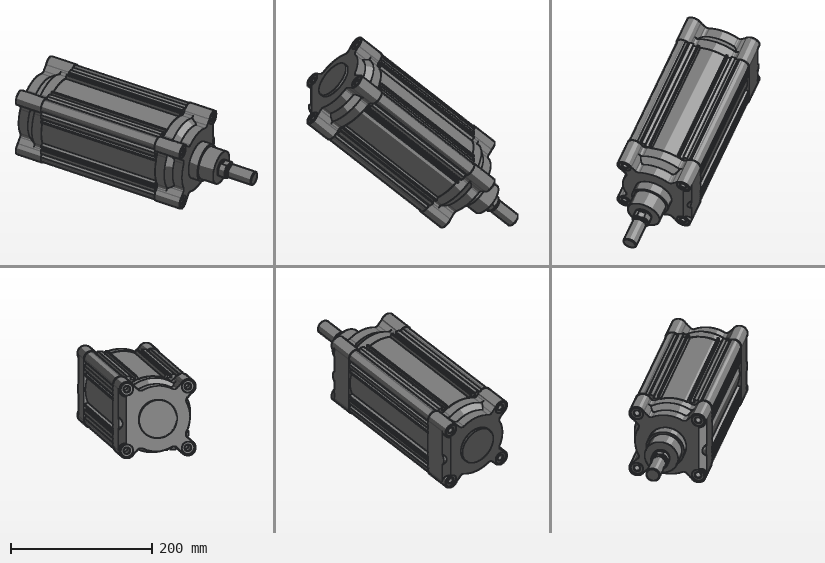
import cadquery as cq
import math


total_length = 358.0
pilot_length = 4.0
cap_length = 40.0
barrel_length = 183.0
front_pilot_length = 14.0
nose_length = 23.5
barrel_start = pilot_length + cap_length
front_cap_end = barrel_start + barrel_length + cap_length
nose_end = front_cap_end + front_pilot_length + nose_length

outer_half = 55.5
corner_radius = 11.0
bolt_offset = outer_half - corner_radius
arm_half_width = 10.55
cap_small_radius = 47.3
cap_large_radius = 53.7
cap_end_length = 15.0
web_fillet = 5.0
radius_tolerance = 0.05
pilot_radius = 27.5
nose_radius = 24.5

recess_radius = 9.0
recess_depth = 1.0
bolt_hole_radius = 4.3
bolt_hole_depth = 16.0
bolt_hole_chamfer = 0.7
drill_half_angle = 59

bevel_height = 10.0
bevel_length = 7.0
port_radius = 13.0
port_from_face = 16.0
port_z = -5.7

barrel_half = 54.5
barrel_radius = 53.0
notch_center = 38.0
notch_depth = 3.2
slot_inner_wall = 23.3
slot_lip = 28.5
slot_outer_wall = 29.7
slot_floor = 49.8
lip_bottom = 52.3
relief_top_half = 20.8
relief_bottom_half = 18.5
relief_bottom = 48.7

rod_radius = 12.5
rod_gap_radius = 12.0
rod_gap_length = 1.8
rod_end = 317.5
rod_chamfer = 1.0
flat_half = 11.5
flat_length = 9.0
neck_radius = 8.2
neck_length = 3.0
thread_radius = 10.0
thread_chamfer = 1.0

bolt_positions = [(y, z) for y in (-bolt_offset, bolt_offset) for z in (-bolt_offset, bolt_offset)]


def rod_along_x(radius, start, length):
    """Round bar on the X axis."""
    return cq.Workplane("YZ", origin=(start, 0, 0)).circle(radius).extrude(length)


def cap_webs(start, length):
    """Diagonal webs and corner bosses over part of a cap."""
    plane = cq.Workplane("YZ", origin=(start, 0, 0))
    span = 2 * math.sqrt(2) * bolt_offset
    webs = plane.pushPoints(bolt_positions).circle(corner_radius).extrude(length)
    for angle in (45, -45):
        web = plane.rect(span, 2 * arm_half_width).extrude(length)
        webs = webs.union(web.rotate((0, 0, 0), (1, 0, 0), angle))
    return webs


def round_section(radius, start, length):
    """Straight round length of a cap, filleted into its webs."""
    section = rod_along_x(radius, start, length).union(cap_webs(start, length))
    corners = [
        edge for edge in section.edges("|X").vals()
        if abs(math.hypot(edge.Center().y, edge.Center().z) - radius) < radius_tolerance
        and min(abs(edge.Center().y), abs(edge.Center().z)) > arm_half_width
    ]
    return section.newObject(corners).fillet(web_fillet)


def connection_side():
    """Flat block that closes the +Y side of a cap between its corner bosses."""
    inner_y = bolt_offset - corner_radius
    return cq.Workplane("XY").box(
        cap_length, outer_half - inner_y, 2 * bolt_offset, centered=(False, False, True)
    ).translate((0, inner_y, 0))


def connection_bevel():
    """Wedge cut from the connection side at the end face, sparing the bosses and the round port pad."""
    wedge = (
        cq.Workplane("XY", origin=(0, 0, -bolt_offset))
        .moveTo(0, outer_half - bevel_height)
        .lineTo(bevel_length, outer_half)
        .lineTo(0, outer_half)
        .close()
        .extrude(2 * bolt_offset)
    )
    bosses = cq.Workplane("YZ").pushPoints(bolt_positions).circle(corner_radius).extrude(cap_length)
    pad = (
        cq.Workplane("XZ", origin=(port_from_face, 0, port_z))
        .circle(port_radius)
        .extrude(-outer_half)
    )
    return wedge.cut(bosses).cut(pad)


def bolt_hole(y, z):
    """Recess, chamfered hole and drill tip, revolved about the bolt axis."""
    mouth = recess_depth + bolt_hole_chamfer
    drill_tip = bolt_hole_radius / math.tan(math.radians(drill_half_angle))
    return (
        cq.Workplane("XY")
        .moveTo(0, 0)
        .lineTo(0, recess_radius)
        .lineTo(recess_depth, recess_radius)
        .lineTo(recess_depth, bolt_hole_radius + bolt_hole_chamfer)
        .lineTo(mouth, bolt_hole_radius)
        .lineTo(bolt_hole_depth, bolt_hole_radius)
        .lineTo(bolt_hole_depth + drill_tip, 0)
        .close()
        .revolve(360, (0, 0, 0), (1, 0, 0))
        .translate((0, y, z))
    )


def make_cap():
    """End cap with its outer end face at X = 0 and its barrel side toward +X."""
    cone_length = cap_length - 2 * cap_end_length
    large_start = cap_end_length + cone_length
    cone = (
        cq.Workplane("YZ", origin=(cap_end_length, 0, 0))
        .circle(cap_small_radius)
        .workplane(offset=cone_length)
        .circle(cap_large_radius)
        .loft()
    )
    cap = (
        round_section(cap_small_radius, 0, large_start)
        .union(cone)
        .union(round_section(cap_large_radius, large_start, cap_end_length))
        .union(connection_side())
        .cut(connection_bevel())
    )
    for y, z in bolt_positions:
        cap = cap.cut(bolt_hole(y, z))
    return cap


def make_rear_cap():
    pilot = rod_along_x(pilot_radius, 0, pilot_length)
    return make_cap().translate((pilot_length, 0, 0)).union(pilot)


def make_front_cap():
    pilot = rod_along_x(pilot_radius, front_cap_end, front_pilot_length)
    nose = rod_along_x(nose_radius, front_cap_end + front_pilot_length, nose_length)
    cap = make_cap().mirror("YZ").translate((front_cap_end, 0, 0))
    return cap.union(pilot).union(nose)


def barrel_half_side_cut():
    """V-notch and sensor slot on the +Y half of the top side of the barrel."""
    plane = cq.Workplane("YZ", origin=(barrel_start, 0, 0))
    notch = plane.polyline([
        (notch_center - notch_depth, barrel_half),
        (notch_center, barrel_half - notch_depth),
        (notch_center + notch_depth, barrel_half),
    ]).close().extrude(barrel_length)
    slot = plane.polyline([
        (slot_inner_wall, barrel_half),
        (slot_inner_wall, slot_floor),
        (slot_outer_wall, slot_floor),
        (slot_outer_wall, lip_bottom),
        (slot_lip, lip_bottom),
        (slot_lip, barrel_half),
    ]).close().extrude(barrel_length)
    return notch.union(slot)


def barrel_relief_cut():
    """Sloped-wall relief over the middle of the top side, leaving the round tube exposed."""
    relief = cq.Workplane("YZ", origin=(barrel_start, 0, 0)).polyline([
        (-relief_top_half, barrel_half),
        (relief_top_half, barrel_half),
        (relief_bottom_half, relief_bottom),
        (-relief_bottom_half, relief_bottom),
    ]).close().extrude(barrel_length)
    return relief.cut(rod_along_x(barrel_radius, barrel_start, barrel_length))


def make_barrel():
    barrel = (
        cq.Workplane("YZ", origin=(barrel_start, 0, 0))
        .rect(2 * barrel_half, 2 * barrel_half)
        .extrude(barrel_length)
        .edges("|X")
        .fillet(barrel_half - bolt_offset)
    )
    half_cut = barrel_half_side_cut()
    side_cuts = [half_cut, half_cut.mirror("XZ"), barrel_relief_cut()]
    for angle in (0, 90, 180, 270):
        for side_cut in side_cuts:
            barrel = barrel.cut(side_cut.rotate((0, 0, 0), (1, 0, 0), angle))
    return barrel


def make_piston_rod():
    """Piston rod end from the nose face outward: wrench section, neck and thread."""
    gap_end = nose_end + rod_gap_length
    neck_end = rod_end + neck_length
    wrench = rod_along_x(rod_radius, gap_end, rod_end - gap_end).faces(">X").chamfer(rod_chamfer)
    for side in (-1, 1):
        flat = (
            cq.Workplane("XY", origin=(rod_end - flat_length / 2, 0, side * (flat_half + rod_radius / 2)))
            .box(flat_length, 2 * rod_radius, rod_radius)
        )
        wrench = wrench.cut(flat)
    gap = rod_along_x(rod_gap_radius, nose_end, rod_gap_length)
    neck = rod_along_x(neck_radius, rod_end, neck_length)
    thread = rod_along_x(thread_radius, neck_end, total_length - neck_end)
    thread = thread.faces(">X").chamfer(thread_chamfer)
    return gap.union(wrench).union(neck).union(thread)


rear_cap = make_rear_cap()
barrel = make_barrel()
front_cap = make_front_cap()
piston_rod = make_piston_rod()

result = cq.Compound.makeCompound([rear_cap.val(), barrel.val(), front_cap.val(), piston_rod.val()])